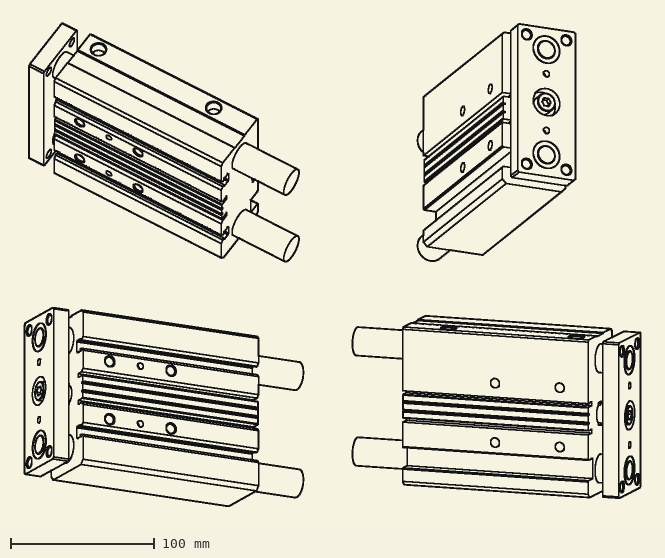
import cadquery as cq
import math

PLATE_THICKNESS = 12.0
HOUSING_START = 22.0
HOUSING_LENGTH = 137.5
HOUSING_END = HOUSING_START + HOUSING_LENGTH
GUIDE_ROD_END = 202.0

HOUSING_DEPTH = 48.0
HOUSING_HEIGHT = 112.0
SIDE_Y = HOUSING_DEPTH / 2
TOP_Z = HOUSING_HEIGHT / 2
TOP_FRONT_CHAMFER = 2.0
TOP_BACK_CHAMFER = 1.4
BOTTOM_CHAMFER = 3.0
TOP_GROOVE_WIDTH = 13.4
TOP_GROOVE_DEPTH = 0.6
LEAD_IN = 2.0

SLOT_Z = 31.2
SLOT_MOUTH = 6.0
SLOT_WIDTH = 8.8
SLOT_LIP = 3.8
SLOT_DEPTH = 9.4
SLOT_CORNER_DEPTH = 0.8
SLOT_CORNER_RISE = 0.8

BACK_SLOT_Z = -36.4
BACK_SLOT_WIDTH = 14.4
BACK_LEAD_IN = 0.8

STRIP_GROOVE_OUTER_Z = 11.1
STRIP_HALF_WIDTH = 8.4
STRIP_GROOVE_DEPTH = 7.3
STRIP_SETBACK = 0.6
STRIP_CHAMFER = 0.5
NOTCH_Z = 3.1
NOTCH_WIDTH = 0.6
NOTCH_BEVEL = 0.6
NOTCH_BEVEL_DEPTH = 0.3
NOTCH_DEPTH = 1.5

MOUNT_HOLE_X = (43.0, 91.0)
DOWEL_X = sum(MOUNT_HOLE_X) / 2
SIDE_HOLE_Z = 21.0
THREAD_MAJOR = 8.0
THREAD_MINOR = 6.6
DOWEL_DIAMETER = 4.4
DOWEL_DEPTH = 6.0
DRILL_POINT_ANGLE = 118.0

PORT_X = (34.0, 128.7)
PORT_Y = 14.8
PORT_DIAMETER = 10.0
PORT_MOUTH = 11.2
PORT_DEPTH = 8.0
PORT_FEED_DIAMETER = 3.7
PORT_FEED_DEPTH = 18.0

PLATE_DEPTH = 44.0
PLATE_HEIGHT = 110.0
PLATE_CHAMFER = 1.2
PLATE_HOLE_Y = 15.0
PLATE_HOLE_Z = 48.0

GUIDE_ROD_DIAMETER = 20.0
GUIDE_ROD_Z = 39.0
PISTON_ROD_DIAMETER = 14.0
REAR_WALL = 12.0
PISTON_ROD_END = HOUSING_END - REAR_WALL
GLAND_DIAMETER = 16.5
GLAND_HEIGHT = 1.2
GLAND_FRONT = HOUSING_START - GLAND_HEIGHT
GLAND_LUG_WIDTH = 6.4
HEAD_DIAMETER = 13.2
HEAD_CHAMFER = 0.4
HEAD_RECESS_DIAMETER = GUIDE_ROD_DIAMETER
HEAD_RECESS_DEPTH = 8.0
GUIDE_HEAD_HEIGHT = 0.4
SOCKET_ACROSS_FLATS = 5.8
SOCKET_DEPTH = 4.0


def cylinder_x(diameter, start, end, y=0.0, z=0.0):
    """Cylinder along +X between two X positions."""
    return cq.Workplane("YZ", origin=(start, y, z)).circle(diameter / 2).extrude(end - start)


def drill(diameter, depth, position, direction, mouth_diameter=None, point=False):
    """Cutter for a round hole, with an optional 45 degree mouth and an optional drill point."""
    radius = diameter / 2
    mouth_radius = (mouth_diameter or diameter) / 2
    outline = [(0, 0), (mouth_radius, 0)]
    if mouth_radius > radius:
        outline.append((radius, mouth_radius - radius))
    outline.append((radius, depth))
    point_height = radius / math.tan(math.radians(DRILL_POINT_ANGLE / 2)) if point else 0.0
    outline.append((0, depth + point_height))
    cutter = cq.Workplane("XY").polyline(outline).close().revolve(360, (0, 0, 0), (0, 1, 0))
    turn = {"+X": ((0, 0, 1), -90), "+Y": ((0, 0, 1), 0), "-Z": ((1, 0, 0), -90)}
    axis, angle = turn[direction]
    return cutter.rotate((0, 0, 0), axis, angle).translate(position)


def section(points):
    """Closed Y-Z outline carried along the whole housing."""
    plane = cq.Workplane("YZ", origin=(HOUSING_START, 0, 0))
    return plane.polyline(points).close().extrude(HOUSING_LENGTH)


def channel(side, center_z, half_profile):
    """Channel symmetric about center_z; side is -1 for the front and +1 for the back."""
    upper = [(side * y, center_z + z) for y, z in half_profile]
    lower = [(side * y, center_z - z) for y, z in reversed(half_profile)]
    return section(upper + lower)


def t_slot(center_z):
    """T-slot with bevelled lips and bevelled floor corners in the front side."""
    return channel(-1, center_z, [
        (SIDE_Y, SLOT_MOUTH / 2 + LEAD_IN),
        (SIDE_Y - LEAD_IN, SLOT_MOUTH / 2),
        (SIDE_Y - SLOT_LIP, SLOT_MOUTH / 2),
        (SIDE_Y - SLOT_LIP, SLOT_WIDTH / 2),
        (SIDE_Y - SLOT_DEPTH + SLOT_CORNER_DEPTH, SLOT_WIDTH / 2),
        (SIDE_Y - SLOT_DEPTH, SLOT_WIDTH / 2 - SLOT_CORNER_RISE),
    ])


def back_slot():
    """Wide plain slot with bevelled edges in the back side."""
    return channel(1, BACK_SLOT_Z, [
        (SIDE_Y, BACK_SLOT_WIDTH / 2 + BACK_LEAD_IN),
        (SIDE_Y - BACK_LEAD_IN, BACK_SLOT_WIDTH / 2),
        (SIDE_Y - SLOT_DEPTH, BACK_SLOT_WIDTH / 2),
    ])


def strip_relief(side, outer_edge):
    """Material removed around the ribbed strip; outer_edge leads from the side face into the groove."""
    strip_y = SIDE_Y - STRIP_SETBACK
    floor_y = SIDE_Y - STRIP_GROOVE_DEPTH
    return channel(side, 0.0, outer_edge + [
        (floor_y, STRIP_GROOVE_OUTER_Z),
        (floor_y, STRIP_HALF_WIDTH),
        (strip_y - STRIP_CHAMFER, STRIP_HALF_WIDTH),
        (strip_y, STRIP_HALF_WIDTH - STRIP_CHAMFER),
        (strip_y, NOTCH_Z + NOTCH_WIDTH / 2 + NOTCH_BEVEL),
        (strip_y - NOTCH_BEVEL_DEPTH, NOTCH_Z + NOTCH_WIDTH / 2),
        (strip_y - NOTCH_DEPTH, NOTCH_Z + NOTCH_WIDTH / 2),
        (strip_y - NOTCH_DEPTH, NOTCH_Z - NOTCH_WIDTH / 2),
        (strip_y - NOTCH_BEVEL_DEPTH, NOTCH_Z - NOTCH_WIDTH / 2),
        (strip_y, NOTCH_Z - NOTCH_WIDTH / 2 - NOTCH_BEVEL),
    ])


def housing_block():
    """Chamfered bar with the shallow groove along its top."""
    groove_y = TOP_GROOVE_WIDTH / 2
    groove_z = TOP_Z - TOP_GROOVE_DEPTH
    return section([
        (-SIDE_Y, -TOP_Z + BOTTOM_CHAMFER),
        (-SIDE_Y, TOP_Z - TOP_FRONT_CHAMFER),
        (-SIDE_Y + TOP_FRONT_CHAMFER, TOP_Z),
        (-groove_y, TOP_Z),
        (-groove_y + TOP_GROOVE_DEPTH, groove_z),
        (groove_y - TOP_GROOVE_DEPTH, groove_z),
        (groove_y, TOP_Z),
        (SIDE_Y - TOP_BACK_CHAMFER, TOP_Z),
        (SIDE_Y, TOP_Z - TOP_BACK_CHAMFER),
        (SIDE_Y, -TOP_Z + BOTTOM_CHAMFER),
        (SIDE_Y - BOTTOM_CHAMFER, -TOP_Z),
        (-SIDE_Y + BOTTOM_CHAMFER, -TOP_Z),
    ])


def gland_lugs():
    """Low collar around the piston rod, kept only above and below the rod."""
    collar = cylinder_x(GLAND_DIAMETER, GLAND_FRONT, HOUSING_START)
    return collar.intersect(cq.Workplane("XY").box(2 * HOUSING_START, GLAND_LUG_WIDTH, HOUSING_HEIGHT))


def housing():
    body = housing_block()
    for z in (-SLOT_Z, SLOT_Z):
        body = body.cut(t_slot(z))
    body = body.cut(back_slot())
    square_edge = [(SIDE_Y, STRIP_GROOVE_OUTER_Z)]
    bevelled_edge = [(SIDE_Y, STRIP_GROOVE_OUTER_Z + LEAD_IN), (SIDE_Y - LEAD_IN, STRIP_GROOVE_OUTER_Z)]
    body = body.cut(strip_relief(-1, bevelled_edge)).cut(strip_relief(1, square_edge))

    for z in (-SIDE_HOLE_Z, SIDE_HOLE_Z):
        for x in MOUNT_HOLE_X:
            body = body.cut(drill(THREAD_MINOR, HOUSING_DEPTH, (x, -SIDE_Y, z), "+Y", THREAD_MAJOR))
        body = body.cut(drill(DOWEL_DIAMETER, DOWEL_DEPTH, (DOWEL_X, -SIDE_Y, z), "+Y", point=True))

    for x in PORT_X:
        top = (x, PORT_Y, TOP_Z)
        body = body.cut(drill(PORT_DIAMETER, PORT_DEPTH, top, "-Z", PORT_MOUTH, point=True))
        body = body.cut(drill(PORT_FEED_DIAMETER, PORT_FEED_DEPTH, top, "-Z"))

    body = body.union(gland_lugs())
    body = body.cut(cylinder_x(PISTON_ROD_DIAMETER, GLAND_FRONT, PISTON_ROD_END))
    for z in (-GUIDE_ROD_Z, GUIDE_ROD_Z):
        body = body.cut(cylinder_x(GUIDE_ROD_DIAMETER, HOUSING_START, HOUSING_END, z=z))
    return body


def end_plate():
    plate = cq.Workplane("XY").box(PLATE_THICKNESS, PLATE_DEPTH, PLATE_HEIGHT)
    plate = plate.edges("|X").chamfer(PLATE_CHAMFER).translate((PLATE_THICKNESS / 2, 0, 0))
    for y in (-PLATE_HOLE_Y, PLATE_HOLE_Y):
        for z in (-PLATE_HOLE_Z, PLATE_HOLE_Z):
            plate = plate.cut(drill(THREAD_MINOR, PLATE_THICKNESS, (0, y, z), "+X", THREAD_MAJOR))
    for z in (-SIDE_HOLE_Z, SIDE_HOLE_Z):
        plate = plate.cut(drill(DOWEL_DIAMETER, DOWEL_DEPTH, (0, 0, z), "+X", point=True))
    for z in (-GUIDE_ROD_Z, GUIDE_ROD_Z):
        plate = plate.cut(cylinder_x(GUIDE_ROD_DIAMETER, 0, PLATE_THICKNESS, z=z))
    plate = plate.cut(cylinder_x(HEAD_RECESS_DIAMETER, 0, HEAD_RECESS_DEPTH))
    return plate.cut(cylinder_x(HEAD_DIAMETER, 0, PLATE_THICKNESS))


def rod_head(length, z=0.0):
    """Short chamfered end of a rod, flush with the front of the end plate."""
    return cylinder_x(HEAD_DIAMETER, 0, length, z=z).faces("<X").chamfer(HEAD_CHAMFER)


def guide_rod(z):
    rod = cylinder_x(GUIDE_ROD_DIAMETER, GUIDE_HEAD_HEIGHT, GUIDE_ROD_END, z=z)
    return rod.union(rod_head(PLATE_THICKNESS, z))


def piston_rod():
    rod = cylinder_x(PISTON_ROD_DIAMETER, PLATE_THICKNESS, PISTON_ROD_END)
    rod = rod.union(rod_head(PLATE_THICKNESS))
    across_corners = SOCKET_ACROSS_FLATS / math.cos(math.pi / 6)
    socket = cq.Workplane("YZ").polygon(6, across_corners).extrude(SOCKET_DEPTH)
    return rod.cut(socket)


guide_rods = [guide_rod(z) for z in (-GUIDE_ROD_Z, GUIDE_ROD_Z)]
result = cq.Compound.makeCompound([
    housing().val(),
    end_plate().val(),
    piston_rod().val(),
    *[rod.val() for rod in guide_rods],
])